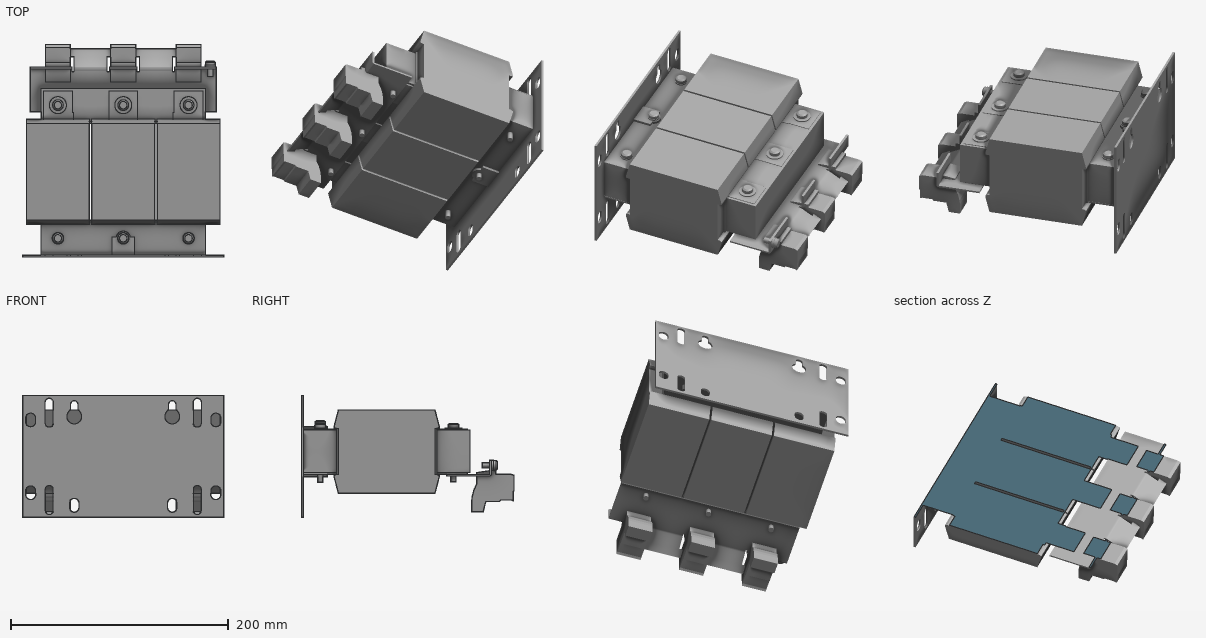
import cadquery as cq
import math


PLATE_WIDTH = 185.0
PLATE_HEIGHT = 112.0
PLATE_THICKNESS = 2.0
PLATE_CUT = 3 * PLATE_THICKNESS
SHORT_SLOT_LENGTH = 12.5
SIDE_SLOT_WIDTH = 9.0
SIDE_SLOT_X = 85.0
SIDE_SLOT_Z = 33.4
LONG_SLOT_LENGTH = 26.4
LONG_SLOT_WIDTH = 7.4
LONG_SLOT_X = 68.0
LONG_SLOT_Z = 40.0
KEYHOLE_X = 45.0
KEYHOLE_Z = 36.6
KEYHOLE_DIAMETER = 13.6
KEYHOLE_NECK_WIDTH = 6.5
KEYHOLE_TOP_Z = 51.0
LOWER_SLOT_WIDTH = 8.5
LOWER_SLOT_Z = -45.0

CORE_WIDTH = 151.0
CORE_BACK_Y = 155.0
CORE_HEIGHT = 39.2
CORE_MID_Z = 4.6
CORE_TOP_Z = CORE_MID_Z + CORE_HEIGHT / 2
CORE_BOTTOM_Z = CORE_MID_Z - CORE_HEIGHT / 2

PHASE_PITCH = 60.0
PHASE_X = [-PHASE_PITCH, 0.0, PHASE_PITCH]
WINDING_WIDTH = 58.0
WINDING_START_Y = 34.0
WINDING_END_Y = 122.8
WINDING_MID_Y = (WINDING_START_Y + WINDING_END_Y) / 2
WINDING_HEIGHT = 76.8
WINDING_MID_Z = 4.3
LIP_REACH = 4.0
LIP_OUTER_OFFSET = 23.0
LIP_INNER_OFFSET = 21.9
FLANGE_THICKNESS = 1.8
FLANGE_HEIGHT = 42.2
FLANGE_WIDTH = 153.0

TONGUE_WIDTH = 26.6
TONGUE_STEP = 0.8
TONGUE_STEP_Y = 132.8
TONGUE_END_Y = 152.5
UPPER_INSULATION = 0.7
SHEET_OVERHANG = 0.2
SHEET_WIDTH = CORE_WIDTH + 2 * SHEET_OVERHANG
LOWER_INSULATION = 1.5
INSULATION_TOP_Z = CORE_TOP_Z + UPPER_INSULATION
INSULATION_BOTTOM_Z = CORE_BOTTOM_Z - LOWER_INSULATION

BOLT_HEAD_DIAMETER = 9.8
BOLT_HEAD_TIP_DIAMETER = 6.8
BOLT_HEAD_HEIGHT = 4.2
BOLT_TIP_HEIGHT = 1.0
BOLT_SHANK_DIAMETER = 5.0
WASHER_THICKNESS = 1.2
REAR_BOLT_Y = 139.7
REAR_BOLT_END_Z = -23.5
REAR_WASHER_DIAMETER = 15.6
FRONT_BOLT_Y = 17.4
FRONT_BOLT_END_Z = -24.0
FRONT_WASHER_DIAMETER = 10.6

LUG_WIDTH = 20.8
LUG_SHOULDER_Y = 18.8
LUG_NOSE_RADIUS = 6.6
LUG_THICKNESS = 2.4

BRACKET_WIDTH = 171.0
BRACKET_START_Y = 133.5
BRACKET_BACK_Y = 174.9
BRACKET_THICKNESS = 1.6
UPSTAND_THICKNESS = 2.2
BEND_CHAMFER = 1.5
BRACKET_FLOOR_Z = INSULATION_BOTTOM_Z
BRACKET_TOP_Z = -3.4
UPSTAND_MID_WIDTH = 25.6
WINDOW_WIDTH = 34.1
WINDOW_X = (UPSTAND_MID_WIDTH + WINDOW_WIDTH) / 2
WINDOW_START_Y = 170.6

TAB_WIDTH = 30.5
TAB_ROOT_Y = 171.9
TAB_END_Y = 191.7
TAB_BAR_Y = 184.4
TAB_SLOPE = math.radians(26)
TAB_BEND_LENGTH = 2.1

BLOCK_WIDTH = 23.0
BLOCK_BACK_Y = 195.5
BLOCK_RECESS_Y = 194.8
BLOCK_FRONT_Y = 161.1
BLOCK_FOOT_Y = 156.4
BLOCK_TOP_Z = -16.4
BLOCK_HOOK_Y = 178.7
BLOCK_HOOK_TOP_Z = -13.2
BLOCK_UNDERSIDE_Z = -40.2
BLOCK_HEEL_Z = -41.6
BLOCK_FOOT_Z = -51.0
BLOCK_OUTLINE = [
    (BLOCK_BACK_Y, -17.5),
    (192.7, BLOCK_TOP_Z),
    (BLOCK_HOOK_Y, BLOCK_TOP_Z),
    (BLOCK_HOOK_Y, BLOCK_HOOK_TOP_Z),
    (172.3, BLOCK_HOOK_TOP_Z),
    (BLOCK_FRONT_Y, -14.9),
    (BLOCK_FRONT_Y, -25.3),
    (158.4, -31.0),
    (156.8, -37.2),
    (BLOCK_FOOT_Y, -41.2),
    (BLOCK_FOOT_Y, BLOCK_FOOT_Z),
    (167.1, BLOCK_FOOT_Z),
    (169.5, BLOCK_HEEL_Z),
    (182.2, BLOCK_HEEL_Z),
    (183.0, BLOCK_UNDERSIDE_Z),
    (192.6, BLOCK_UNDERSIDE_Z),
    (BLOCK_RECESS_Y, -41.0),
    (BLOCK_RECESS_Y, -32.0),
    (BLOCK_BACK_Y, -31.8),
]

SCREW_X = 80.0
SCREW_Z = -8.3
SCREW_DIAMETER = 5.2
SCREW_START_Y = 166.0
SCREW_WASHER_DIAMETER = 9.8
SCREW_WASHER_STACK = 1.8
SCREW_HEAD_DIAMETER = 9.2
SCREW_HEAD_END_Y = 180.2
SCREW_HEAD_CHAMFER = 1.2


def union_all(pieces):
    """One body from a list of touching pieces."""
    whole = pieces[0]
    for piece in pieces[1:]:
        whole = whole.union(piece)
    return whole


def box(x_range, y_range, z_range):
    """Box spanning the given (low, high) ranges."""
    lows, highs = zip(x_range, y_range, z_range)
    sizes = [high - low for low, high in zip(lows, highs)]
    return cq.Workplane("XY").box(*sizes, centered=False).translate(lows)


def centred(middle, size):
    """Range of the given size around a middle."""
    return (middle - size / 2, middle + size / 2)


def upright(diameter, x, y, z_range):
    """Cylinder along Z."""
    low, high = z_range
    return cq.Workplane("XY", origin=(x, y, low)).circle(diameter / 2).extrude(high - low)


def along_y(diameter, x, z, y_range):
    """Cylinder along Y."""
    low, high = y_range
    return cq.Workplane("XZ", origin=(x, low, z)).circle(diameter / 2).extrude(low - high)


def side_profile(points, x_mid, width):
    """Prism along X from a closed outline of (y, z) points."""
    return cq.Workplane("YZ", origin=(x_mid, 0, 0)).polyline(points).close().extrude(width / 2, both=True)


def plate_slot(x, z, length, width):
    """Cutter for an upright slot with round ends through the mounting plate."""
    sketch = cq.Workplane("XZ").center(x, z).slot2D(length, width, 90)
    return sketch.extrude(PLATE_CUT, both=True)


def mounting_plate():
    """Plate with side slots, long slots, keyholes at the top and short slots at the bottom."""
    plate = box(centred(0, PLATE_WIDTH), (0, PLATE_THICKNESS), centred(0, PLATE_HEIGHT))
    neck_length = KEYHOLE_TOP_Z - KEYHOLE_Z
    for side in (-1, 1):
        for end in (-1, 1):
            side_slot = plate_slot(side * SIDE_SLOT_X, end * SIDE_SLOT_Z, SHORT_SLOT_LENGTH, SIDE_SLOT_WIDTH)
            long_slot = plate_slot(side * LONG_SLOT_X, end * LONG_SLOT_Z, LONG_SLOT_LENGTH, LONG_SLOT_WIDTH)
            plate = plate.cut(side_slot).cut(long_slot)
        x = side * KEYHOLE_X
        plate = plate.cut(plate_slot(x, LOWER_SLOT_Z, SHORT_SLOT_LENGTH, LOWER_SLOT_WIDTH))
        plate = plate.cut(plate_slot(x, KEYHOLE_Z + neck_length / 2, neck_length, KEYHOLE_NECK_WIDTH))
        plate = plate.cut(along_y(KEYHOLE_DIAMETER, x, KEYHOLE_Z, (-PLATE_CUT, PLATE_CUT)))
    return plate


def core():
    """Front and rear yokes; the legs between them lie inside the windings."""
    x_range = centred(0, CORE_WIDTH)
    z_range = (CORE_BOTTOM_Z, CORE_TOP_Z)
    front_yoke = box(x_range, (PLATE_THICKNESS, WINDING_START_Y), z_range)
    rear_yoke = box(x_range, (WINDING_END_Y, CORE_BACK_Y), z_range)
    return front_yoke.union(rear_yoke)


def winding(x):
    """Winding block whose upper and lower parts overhang both ends as sloped lips."""
    half_length = (WINDING_END_Y - WINDING_START_Y) / 2
    half_height = WINDING_HEIGHT / 2
    body = box(
        centred(x, WINDING_WIDTH),
        (WINDING_START_Y, WINDING_END_Y),
        centred(WINDING_MID_Z, WINDING_HEIGHT),
    )
    for end in (-1, 1):
        for level in (-1, 1):
            face_y = WINDING_MID_Y + end * half_length
            flange_edge_z = CORE_MID_Z + level * FLANGE_HEIGHT / 2
            nose_y = face_y + end * LIP_REACH
            lip = [
                (face_y, WINDING_MID_Z + level * half_height),
                (nose_y, WINDING_MID_Z + level * LIP_OUTER_OFFSET),
                (nose_y, WINDING_MID_Z + level * LIP_INNER_OFFSET),
                (face_y + end * FLANGE_THICKNESS, flange_edge_z),
                (face_y, flange_edge_z),
            ]
            body = body.union(side_profile(lip, x, WINDING_WIDTH))
    return body


def bobbin_flanges():
    """Thin walls closing the winding ends."""
    x_range = centred(0, FLANGE_WIDTH)
    z_range = centred(CORE_MID_Z, FLANGE_HEIGHT)
    front = box(x_range, (WINDING_START_Y - FLANGE_THICKNESS, WINDING_START_Y), z_range)
    rear = box(x_range, (WINDING_END_Y, WINDING_END_Y + FLANGE_THICKNESS), z_range)
    return front.union(rear)


def insulation():
    """Sheets on both sides of the front yoke and tongues on both sides of the rear yoke."""
    levels = [
        (CORE_TOP_Z, INSULATION_TOP_Z),
        (INSULATION_BOTTOM_Z, CORE_BOTTOM_Z),
    ]
    pieces = []
    for z_range in levels:
        pieces.append(box(centred(0, SHEET_WIDTH), (PLATE_THICKNESS, WINDING_START_Y), z_range))
        for x in PHASE_X:
            pieces.append(box(centred(x, TONGUE_WIDTH), (WINDING_END_Y, TONGUE_END_Y), z_range))
        for side in (-1, 1):
            step_x = side * (PHASE_PITCH - TONGUE_WIDTH / 2)
            pieces.append(box(centred(step_x, 2 * TONGUE_STEP), (WINDING_END_Y, TONGUE_STEP_Y), z_range))
    return union_all(pieces)


def washered_bolt(x, y, seat_z, washer_diameter, end_z):
    """Yoke bolt with a coned head and a washer lying on seat_z; its shank reaches down to end_z."""
    head_z = seat_z + WASHER_THICKNESS
    tip_z = head_z + BOLT_HEAD_HEIGHT
    head = upright(BOLT_HEAD_DIAMETER, x, y, (head_z, tip_z))
    cone_width = (BOLT_HEAD_DIAMETER - BOLT_HEAD_TIP_DIAMETER) / 2
    head = head.faces(">Z").chamfer(BOLT_TIP_HEIGHT, cone_width)
    washer = upright(washer_diameter, x, y, (seat_z, head_z))
    shank = upright(BOLT_SHANK_DIAMETER, x, y, (end_z, head_z))
    return head.union(washer).union(shank)


def lug(z_range):
    """Tongue from the mounting plate with a round nose over the middle bolt."""
    tongue = box(centred(0, LUG_WIDTH), (PLATE_THICKNESS, LUG_SHOULDER_Y), z_range)
    return tongue.union(upright(2 * LUG_NOSE_RADIUS, 0, FRONT_BOLT_Y, z_range))


def yoke_hardware():
    """Lugs over and under the front yoke and the three bolts through each yoke."""
    lug_top_z = INSULATION_TOP_Z + LUG_THICKNESS
    pieces = [
        lug((INSULATION_TOP_Z, lug_top_z)),
        lug((INSULATION_BOTTOM_Z - LUG_THICKNESS, INSULATION_BOTTOM_Z)),
    ]
    for x in PHASE_X:
        front_seat_z = lug_top_z if x == 0 else INSULATION_TOP_Z
        pieces.append(washered_bolt(x, FRONT_BOLT_Y, front_seat_z, FRONT_WASHER_DIAMETER, FRONT_BOLT_END_Z))
        pieces.append(washered_bolt(x, REAR_BOLT_Y, INSULATION_TOP_Z, REAR_WASHER_DIAMETER, REAR_BOLT_END_Z))
    return union_all(pieces)


def bracket():
    """L-shaped rail under the rear yoke with two windows in its upstand."""
    x_range = centred(0, BRACKET_WIDTH)
    underside_z = BRACKET_FLOOR_Z - BRACKET_THICKNESS
    floor = box(x_range, (BRACKET_START_Y, BRACKET_BACK_Y), (underside_z, BRACKET_FLOOR_Z))
    floor = floor.edges(">Y and <Z").chamfer(BEND_CHAMFER)
    upstand = box(
        x_range,
        (BRACKET_BACK_Y - UPSTAND_THICKNESS, BRACKET_BACK_Y),
        (BRACKET_FLOOR_Z, BRACKET_TOP_Z),
    )
    rail = floor.union(upstand)
    for side in (-1, 1):
        rail = rail.cut(
            box(
                centred(side * WINDOW_X, WINDOW_WIDTH),
                (WINDOW_START_Y, BRACKET_BACK_Y),
                (underside_z, BRACKET_TOP_Z),
            )
        )
    return rail


def sloped_tab(x):
    """T-shaped tab bent down and out from the bracket floor, its bar joining two blocks."""
    underside_z = BRACKET_FLOOR_Z - BRACKET_THICKNESS
    bend_radius = TAB_BEND_LENGTH / math.sin(TAB_SLOPE)
    bend_axis_z = BRACKET_FLOOR_Z - bend_radius

    def on_bend(radius, angle):
        """Point on the bend at the given radius, the angle measured from vertical."""
        return (TAB_ROOT_Y + radius * math.sin(angle), bend_axis_z + radius * math.cos(angle))

    def on_slope(y):
        """Point at y on the straight upper face past the bend."""
        return (y, bend_end[1] - (y - bend_end[0]) * math.tan(TAB_SLOPE))

    def beneath(point):
        """Point on the underside straight through the sheet."""
        y, z = point
        return (y - BRACKET_THICKNESS * math.sin(TAB_SLOPE), z - BRACKET_THICKNESS * math.cos(TAB_SLOPE))

    inner_radius = bend_radius - BRACKET_THICKNESS
    bend_end = on_bend(bend_radius, TAB_SLOPE)
    tab_end = on_slope(TAB_END_Y)
    stem = (
        cq.Workplane("YZ", origin=(x, 0, 0))
        .moveTo(WINDOW_START_Y, BRACKET_FLOOR_Z)
        .lineTo(TAB_ROOT_Y, BRACKET_FLOOR_Z)
        .threePointArc(on_bend(bend_radius, TAB_SLOPE / 2), bend_end)
        .lineTo(*tab_end)
        .lineTo(*beneath(tab_end))
        .lineTo(*on_bend(inner_radius, TAB_SLOPE))
        .threePointArc(on_bend(inner_radius, TAB_SLOPE / 2), (TAB_ROOT_Y, underside_z))
        .lineTo(WINDOW_START_Y, underside_z)
        .close()
        .extrude(TAB_WIDTH / 2, both=True)
    )
    bar_start = on_slope(TAB_BAR_Y)
    bar_outline = [bar_start, tab_end, beneath(tab_end), beneath(bar_start)]
    return stem.union(side_profile(bar_outline, x, PHASE_PITCH - BLOCK_WIDTH))


def terminal_block(x):
    """Terminal housing of constant section, gripping the bracket."""
    return side_profile(BLOCK_OUTLINE, x, BLOCK_WIDTH)


def earth_screw():
    """Screw with its washer stack through the bracket upstand."""
    washer_end_y = BRACKET_BACK_Y + SCREW_WASHER_STACK
    head = along_y(SCREW_HEAD_DIAMETER, SCREW_X, SCREW_Z, (washer_end_y, SCREW_HEAD_END_Y))
    head = head.faces(">Y").chamfer(SCREW_HEAD_CHAMFER)
    washers = along_y(SCREW_WASHER_DIAMETER, SCREW_X, SCREW_Z, (BRACKET_BACK_Y, washer_end_y))
    shank = along_y(SCREW_DIAMETER, SCREW_X, SCREW_Z, (SCREW_START_Y, washer_end_y))
    return head.union(washers).union(shank)


components = [mounting_plate(), core(), bobbin_flanges(), insulation()]
for phase_x in PHASE_X:
    components.append(winding(phase_x))
    components.append(terminal_block(phase_x))
components += [yoke_hardware(), bracket(), earth_screw()]
for tab_side in (-1, 1):
    components.append(sloped_tab(tab_side * PHASE_PITCH / 2))

result = union_all(components)